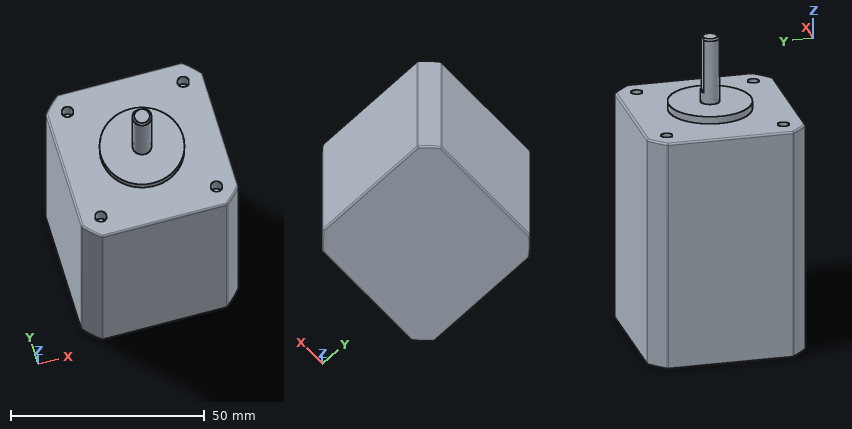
import cadquery as cq

total_height = 82.8
body_width = 42.3
shaft_projection = 20.0
body_height = total_height - shaft_projection

corner_diameter = 54.0
edge_radius = 0.5

boss_diameter = 21.95
boss_height = 2.0
shaft_diameter = 5.0
shaft_tip_chamfer = 0.5
flat_distance = 2.0
flat_length = 15.0

hole_spacing = 31.05
hole_diameter = 3.0
hole_depth = 4.5


def make_body():
    """Square housing with turned corners and every edge rounded."""
    body = cq.Workplane("XY").box(body_width, body_width, body_height, centered=(True, True, False))
    body = body.intersect(cq.Workplane("XY").circle(corner_diameter / 2).extrude(body_height))
    return body.edges().fillet(edge_radius)


def make_boss():
    """Centring boss on the mounting face."""
    return cq.Workplane("XY").workplane(offset=body_height).circle(boss_diameter / 2).extrude(boss_height)


def make_shaft():
    """Output shaft with a chamfered tip and a flat on the +Y side."""
    shaft = cq.Workplane("XY").workplane(offset=body_height).circle(shaft_diameter / 2).extrude(shaft_projection)
    shaft = shaft.faces(">Z").chamfer(shaft_tip_chamfer)
    flat_cutter = (
        cq.Workplane("XY", origin=(0, flat_distance, total_height - flat_length))
        .box(shaft_diameter, shaft_diameter, flat_length, centered=(True, False, False))
    )
    return shaft.cut(flat_cutter)


def cut_mounting_holes(part):
    """Four blind holes in a square pattern on the mounting face."""
    cutters = (
        cq.Workplane("XY").workplane(offset=body_height)
        .rect(hole_spacing, hole_spacing, forConstruction=True)
        .vertices().circle(hole_diameter / 2).extrude(-hole_depth)
    )
    return part.cut(cutters)


result = cut_mounting_holes(make_body().union(make_boss()).union(make_shaft()))